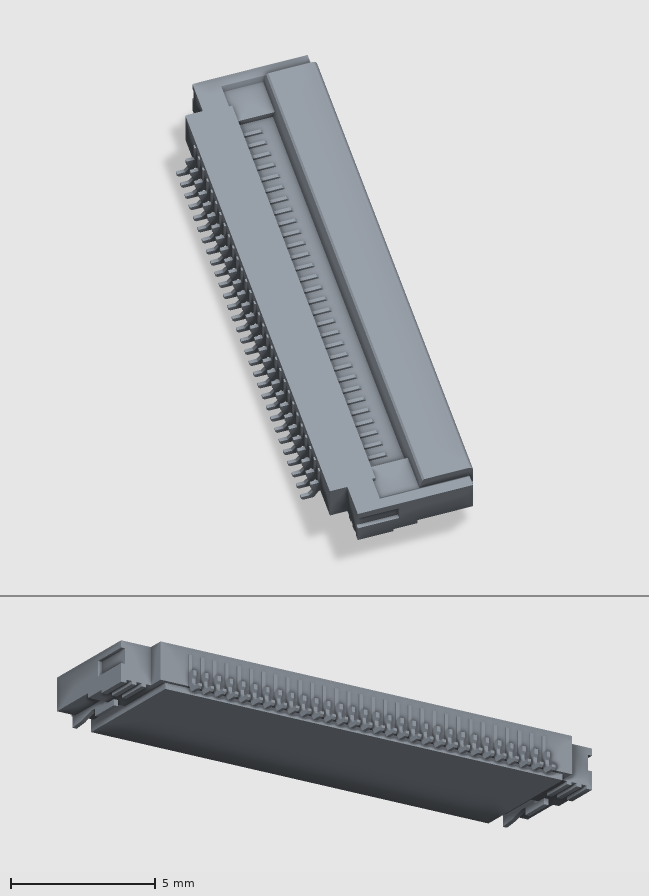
import cadquery as cq


length = 19.3
body_length = 16.87
ear_front = 0.64
body_back = 4.82
body_bottom = 0.29
body_top = 1.72

ear_foot_bottom = 0.17
ear_foot_back = 1.93
ear_foot_spacing = 17.25
ear_rear_bottom = 0.46
ear_rear_front = 2.8
ear_groove_width = 0.21
ear_groove_offsets = (8.92, 9.32)

recess_depth = 0.15
recess_back = 2.15
recess_bottom = 0.87
recess_top = 1.45

plate_length = 16.29
plate_front = 0.15
plate_bottom = 0.05
plate_rear_top = 1.15

lid_length = 18.22
lid_top = 2.0
lid_back = 5.0
lid_front_top = 3.17
lid_front_bottom = 2.97
lid_back_radius = 0.17
lid_front_chamfer = 0.05

shallow_top_length = 18.5
shallow_floor_length = lid_length
shallow_floor = 1.56
corner_front = 1.56
corner_inner_length = 16.71
pocket_front = 1.68
deep_length = 15.52
deep_floor = 1.31

contact_count = 30
contact_pitch = 0.5
contact_width = 0.14
tip_rise = 0.1
tip_back = 2.45
tip_slope = 0.08
tip_shoulder = 0.08
blade_proud = 0.05
blade_top = 1.45
heel_front = -0.35
heel_top = 0.77
heel_bottom = 0.58
shank_front = -0.27
shank_top = 0.48
shank_bottom = 0.33
bend_front = -0.4
foot_front = -0.7
foot_back = -0.23
foot_thickness = 0.17
toe_chamfer = 0.08

clip_width = 0.17
clip_offset = 8.82
clip_back = 5.05
clip_pad_front = 2.3
clip_pad_back = 3.51
clip_pad_top = 0.23
clip_body_front = 2.91
clip_slope_front = 3.76
clip_slope_back = 4.44
clip_rear_bottom = 0.12
clip_bump_bottom = 0.5
clip_bump_top = 0.73


def box(x_size, y_min, y_max, z_min, z_max, x_center=0.0):
    """Box centred on x_center, given by its Y and Z limits."""
    return (
        cq.Workplane("XY")
        .box(x_size, y_max - y_min, z_max - z_min, centered=(True, False, False))
        .translate((x_center, y_min, z_min))
    )


def side_profile(points, x_size, x_center=0.0):
    """Closed (Y, Z) outline extruded symmetrically about x_center."""
    outline = cq.Workplane("YZ").polyline(points).close()
    return outline.extrude(x_size / 2, both=True).translate((x_center, 0, 0))


def make_housing():
    ear_outline = [
        (ear_front, ear_foot_bottom),
        (ear_foot_back, ear_foot_bottom),
        (ear_foot_back, body_bottom),
        (ear_rear_front, body_bottom),
        (ear_rear_front, ear_rear_bottom),
        (body_back, ear_rear_bottom),
        (body_back, body_top),
        (ear_front, body_top),
    ]
    ears = side_profile(ear_outline, length)
    ears = ears.cut(box(ear_foot_spacing, ear_front, body_back, 0, body_bottom))
    middle = box(body_length, 0, ear_rear_front, body_bottom, body_top)
    plate = box(plate_length, plate_front, lid_back, plate_bottom, body_bottom)
    plate_rear = box(plate_length, ear_rear_front, lid_back, plate_bottom, plate_rear_top)
    return ears.union(middle).union(plate).union(plate_rear)


def cut_end_recesses(body):
    for side in (-1, 1):
        recess_center = side * (length - recess_depth) / 2
        recess = box(recess_depth, ear_front, recess_back, recess_bottom, recess_top, recess_center)
        body = body.cut(recess)
    return body


def cut_ear_grooves(body):
    for offset in ear_groove_offsets:
        for side in (-1, 1):
            x_center = side * offset
            groove = box(ear_groove_width, ear_front, ear_foot_back, ear_foot_bottom, body_bottom, x_center)
            body = body.cut(groove)
    return body


def cut_pocket(body):
    half_top = shallow_top_length / 2
    half_floor = shallow_floor_length / 2
    section = [
        (-half_floor, shallow_floor),
        (half_floor, shallow_floor),
        (half_top, body_top),
        (-half_top, body_top),
    ]
    shallow = (
        cq.Workplane("XZ", origin=(0, corner_front, 0))
        .polyline(section)
        .close()
        .extrude(corner_front - body_back)
    )
    front_ledge = box(corner_inner_length, corner_front, pocket_front, shallow_floor, body_top)
    deep = box(deep_length, pocket_front, lid_front_top, deep_floor, body_top)
    return body.cut(shallow.cut(front_ledge)).cut(deep)


def make_lid():
    lid_outline = [
        (lid_front_bottom, deep_floor),
        (lid_front_top, lid_top),
        (lid_back, lid_top),
        (lid_back, plate_rear_top),
        (lid_front_top, plate_rear_top),
    ]
    lid = side_profile(lid_outline, lid_length)
    lid = lid.edges("|X and >Y and >Z").fillet(lid_back_radius)
    return lid.faces(">Z").edges("<Y").chamfer(lid_front_chamfer)


def make_contact(x_center):
    tip_top = deep_floor + tip_rise
    tip_outline = [
        (pocket_front, deep_floor),
        (pocket_front + tip_shoulder, tip_top),
        (tip_back - tip_slope, tip_top),
        (tip_back, deep_floor),
    ]
    leg_outline = [
        (0, blade_top),
        (-blade_proud, blade_top),
        (-blade_proud, heel_top),
        (heel_front, heel_top),
        (heel_front, heel_bottom),
        (shank_front, shank_top),
        (shank_front, shank_bottom),
        (bend_front, foot_thickness),
        (foot_front, foot_thickness),
        (foot_front, toe_chamfer),
        (foot_front + toe_chamfer, 0),
        (foot_back, 0),
        (-blade_proud, body_bottom),
        (0, body_bottom),
    ]
    tip = side_profile(tip_outline, contact_width, x_center)
    leg = side_profile(leg_outline, contact_width, x_center)
    return [tip, leg]


def make_clip(x_center):
    clip_outline = [
        (clip_pad_front, 0),
        (clip_pad_back, 0),
        (clip_pad_back, body_bottom),
        (clip_slope_front, body_bottom),
        (clip_slope_back, clip_rear_bottom),
        (lid_back, plate_bottom),
        (lid_back, clip_bump_bottom),
        (clip_back, clip_bump_bottom),
        (clip_back, clip_bump_top),
        (lid_back, clip_bump_top),
        (lid_back, plate_rear_top),
        (clip_body_front, plate_rear_top),
        (clip_body_front, clip_pad_top),
        (clip_pad_front, clip_pad_top),
    ]
    return side_profile(clip_outline, clip_width, x_center)


body = cut_end_recesses(make_housing())
body = cut_ear_grooves(body)
body = cut_pocket(body)
body = body.union(make_lid())

for side in (-1, 1):
    body = body.union(make_clip(side * clip_offset))

first_contact = -contact_pitch * (contact_count - 1) / 2
for index in range(contact_count):
    for piece in make_contact(first_contact + index * contact_pitch):
        body = body.union(piece)

result = body